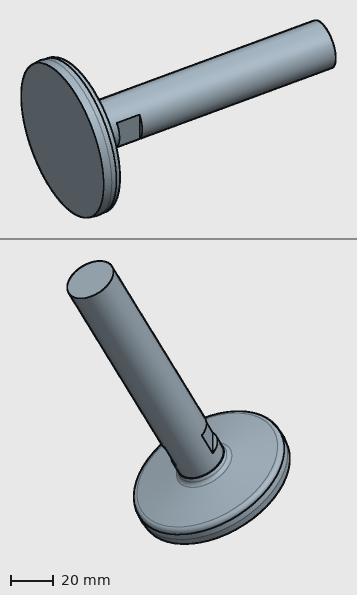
import cadquery as cq
import math

total_length = 142.0
rim_radius = 78.0 / 2
stem_radius = 24.0 / 2

sole_radius = 38.5
rim_height = 4.0
shoulder_start_height = 6.8
shoulder_start_radius = 38.6
shoulder_end_height = 9.8
shoulder_end_radius = 36.4
shoulder_bulge = 1.0

cone_top_height = 13.3
cone_top_radius = 14.3
neck_middle_height = 15.0
neck_middle_radius = 12.5
neck_bulge = 0.3
neck_top_height = 16.8
neck_top_radius = 11.6

flat_start = 24.1
flat_length = 12.4
across_flats = 19.0


def bowed_midpoint(start, end, bulge):
    """Middle of an arc that bows to the right of the start-to-end direction."""
    run = end[0] - start[0]
    rise = end[1] - start[1]
    chord = math.hypot(run, rise)
    middle_radius = (start[0] + end[0]) / 2 + bulge * rise / chord
    middle_height = (start[1] + end[1]) / 2 - bulge * run / chord
    return (middle_radius, middle_height)


def make_body():
    """Revolve the foot plate, neck and stem as one profile."""
    shoulder_start = (shoulder_start_radius, shoulder_start_height)
    shoulder_end = (shoulder_end_radius, shoulder_end_height)
    cone_top = (cone_top_radius, cone_top_height)
    neck_middle = (neck_middle_radius, neck_middle_height)
    profile = (
        cq.Workplane("XY")
        .lineTo(sole_radius, 0)
        .lineTo(rim_radius, rim_height)
        .lineTo(*shoulder_start)
        .threePointArc(bowed_midpoint(shoulder_start, shoulder_end, shoulder_bulge), shoulder_end)
        .lineTo(*cone_top)
        .threePointArc(bowed_midpoint(cone_top, neck_middle, -neck_bulge), neck_middle)
        .lineTo(neck_top_radius, neck_top_height)
        .lineTo(stem_radius, neck_top_height)
        .lineTo(stem_radius, total_length)
        .lineTo(0, total_length)
        .close()
    )
    return profile.revolve(360, (0, 0, 0), (0, 1, 0))


def cut_wrench_flats(body):
    """Cut two parallel flats facing -X and +X."""
    cutter_width = 2 * stem_radius
    for side in (-1, 1):
        cutter = cq.Workplane("XY").box(cutter_width, flat_length, cutter_width).translate(
            (side * (across_flats + cutter_width) / 2, flat_start + flat_length / 2, 0)
        )
        body = body.cut(cutter)
    return body


result = cut_wrench_flats(make_body())